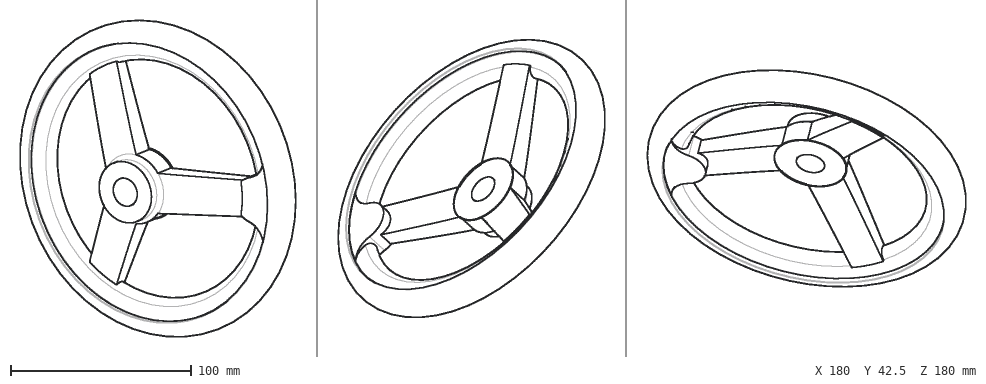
import math

import cadquery as cq


WHEEL_RADIUS = 90.0
GRIP_RADIUS = 10.0
GRIP_INNER_RADIUS = WHEEL_RADIUS - GRIP_RADIUS
RIM_BORE_RADIUS = 68.0
RING_HALF_DEPTH = 7.0
RING_OUTER_RADIUS = 79.6
STEP_ROUNDING = 0.35
RING_NOSE_RADIUS = 5.0
NOSE_CENTER_RADIUS = RIM_BORE_RADIUS + RING_NOSE_RADIUS

BORE_RADIUS = 8.0
HUB_FACE_RADIUS = 17.5
HUB_RADIUS = 20.0
FLANGE_RADIUS = 20.5
HUB_FRONT_Y = -32.5
NECK_FRONT_Y = HUB_FRONT_Y + 5.0
NECK_BACK_Y = -24.4
FLANGE_FRONT_Y = -11.2
HUB_BACK_Y = -10.6

SPOKE_COUNT = 3
SPOKE_ROOT_RADIUS = 10.0
SPOKE_END_RADIUS = 72.0
SPOKE_ROOT_HALF_WIDTH = 11.7
SPOKE_END_HALF_WIDTH = 10.3
SPOKE_FRONT_Y = NECK_BACK_Y
SPOKE_FRONT_SLOPE = 0.425
SPOKE_BACK_Y = FLANGE_FRONT_Y
SPOKE_BACK_SLOPE = 0.33

BOSS_CENTER_X = 68.9
BOSS_RADIUS = 13.2
BOSS_FILLET_RADIUS = 13.0
BOSS_HALF_DEPTH = RING_HALF_DEPTH


def revolve_about_y(section):
    """Turn a closed XY section once around the Y axis."""
    return section.close().revolve(360, (0, 0, 0), (0, 1, 0))


def make_rim():
    rise = RING_OUTER_RADIUS - NOSE_CENTER_RADIUS
    reach = math.hypot(rise, RING_HALF_DEPTH)
    tangent_angle = math.atan2(RING_HALF_DEPTH, rise) + math.acos(RING_NOSE_RADIUS / reach)
    tangent_radius = NOSE_CENTER_RADIUS + RING_NOSE_RADIUS * math.cos(tangent_angle)
    tangent_y = RING_NOSE_RADIUS * math.sin(tangent_angle)
    section = (
        cq.Workplane("XY")
        .moveTo(GRIP_INNER_RADIUS, -GRIP_RADIUS)
        .threePointArc((WHEEL_RADIUS, 0), (GRIP_INNER_RADIUS, GRIP_RADIUS))
        .lineTo(RING_OUTER_RADIUS, GRIP_RADIUS)
        .lineTo(RING_OUTER_RADIUS, RING_HALF_DEPTH)
        .lineTo(tangent_radius, tangent_y)
        .threePointArc((RIM_BORE_RADIUS, 0), (tangent_radius, -tangent_y))
        .lineTo(RING_OUTER_RADIUS, -RING_HALF_DEPTH)
        .lineTo(RING_OUTER_RADIUS, -GRIP_RADIUS)
    )
    rim = revolve_about_y(section)
    return rim.edges(cq.selectors.RadiusNthSelector(-2)).fillet(STEP_ROUNDING)


def make_hub():
    section = (
        cq.Workplane("XY")
        .moveTo(0, HUB_FRONT_Y)
        .lineTo(HUB_FACE_RADIUS, HUB_FRONT_Y)
        .lineTo(HUB_FACE_RADIUS, NECK_FRONT_Y)
        .tangentArcPoint((HUB_RADIUS, NECK_BACK_Y), relative=False)
        .lineTo(HUB_RADIUS, FLANGE_FRONT_Y)
        .lineTo(FLANGE_RADIUS, FLANGE_FRONT_Y)
        .lineTo(FLANGE_RADIUS, HUB_BACK_Y)
        .lineTo(0, HUB_BACK_Y)
    )
    return revolve_about_y(section)


def make_spokes():
    def front_y(radius):
        return SPOKE_FRONT_Y + SPOKE_FRONT_SLOPE * (radius - HUB_RADIUS)

    def back_y(radius):
        return SPOKE_BACK_Y + SPOKE_BACK_SLOPE * (radius - HUB_RADIUS)

    dish = revolve_about_y(
        cq.Workplane("XY")
        .moveTo(SPOKE_ROOT_RADIUS, SPOKE_BACK_Y)
        .lineTo(SPOKE_ROOT_RADIUS, SPOKE_FRONT_Y)
        .lineTo(HUB_RADIUS, SPOKE_FRONT_Y)
        .lineTo(SPOKE_END_RADIUS, front_y(SPOKE_END_RADIUS))
        .lineTo(SPOKE_END_RADIUS, back_y(SPOKE_END_RADIUS))
        .lineTo(HUB_RADIUS, SPOKE_BACK_Y)
    )
    plan = (
        cq.Workplane("XZ")
        .moveTo(SPOKE_ROOT_RADIUS, -SPOKE_ROOT_HALF_WIDTH)
        .lineTo(SPOKE_END_RADIUS, -SPOKE_END_HALF_WIDTH)
        .lineTo(SPOKE_END_RADIUS, SPOKE_END_HALF_WIDTH)
        .lineTo(SPOKE_ROOT_RADIUS, SPOKE_ROOT_HALF_WIDTH)
        .close()
        .extrude(WHEEL_RADIUS, both=True)
    )
    spokes = cq.Workplane("XY")
    for index in range(SPOKE_COUNT):
        turned_plan = plan.rotate((0, 0, 0), (0, 1, 0), index * 360 / SPOKE_COUNT)
        spokes = spokes.add(dish.intersect(turned_plan))
    return spokes.combine()


def make_handle_boss():
    """A round nose blended by concave fillets into the grip's inner circle."""
    to_axis = GRIP_INNER_RADIUS - BOSS_FILLET_RADIUS
    to_nose = BOSS_RADIUS + BOSS_FILLET_RADIUS
    fillet_x = (to_axis**2 - to_nose**2 + BOSS_CENTER_X**2) / (2 * BOSS_CENTER_X)
    fillet_z = math.sqrt(to_axis**2 - fillet_x**2)

    nose_share = BOSS_RADIUS / to_nose
    nose_x = BOSS_CENTER_X + (fillet_x - BOSS_CENTER_X) * nose_share
    nose_z = fillet_z * nose_share
    grip_x = fillet_x * GRIP_INNER_RADIUS / to_axis
    grip_z = fillet_z * GRIP_INNER_RADIUS / to_axis

    start_angle = math.atan2(nose_z - fillet_z, nose_x - fillet_x)
    end_angle = math.atan2(fillet_z, fillet_x)
    middle_angle = (start_angle + end_angle) / 2
    middle_x = fillet_x + BOSS_FILLET_RADIUS * math.cos(middle_angle)
    middle_z = fillet_z + BOSS_FILLET_RADIUS * math.sin(middle_angle)
    return (
        cq.Workplane("XZ")
        .moveTo(grip_x, -grip_z)
        .threePointArc((middle_x, -middle_z), (nose_x, -nose_z))
        .threePointArc((BOSS_CENTER_X - BOSS_RADIUS, 0), (nose_x, nose_z))
        .threePointArc((middle_x, middle_z), (grip_x, grip_z))
        .threePointArc((GRIP_INNER_RADIUS, 0), (grip_x, -grip_z))
        .close()
        .extrude(BOSS_HALF_DEPTH, both=True)
    )


def make_bore():
    bore_length = HUB_BACK_Y - HUB_FRONT_Y
    return cq.Workplane("XZ", origin=(0, HUB_BACK_Y, 0)).circle(BORE_RADIUS).extrude(bore_length)


wheel = make_rim().union(make_spokes()).union(make_hub()).union(make_handle_boss())
result = wheel.cut(make_bore())